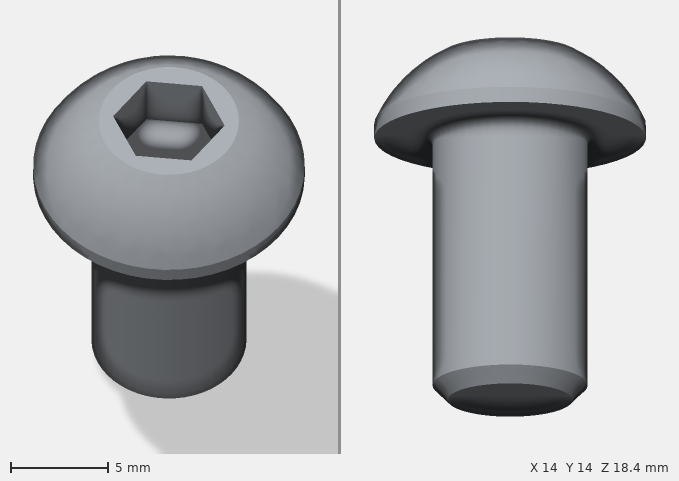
import cadquery as cq
import math

total_height = 18.4
head_height = 4.4
head_diameter = 14.0
rim_height = 0.81
top_flat_radius = 3.6
dome_radius = 7.5
shank_diameter = 8.0
neck_fillet = 0.4
tip_chamfer = 0.8
socket_across_flats = 5.0
socket_depth = 3.05

shank_length = total_height - head_height
head_radius = head_diameter / 2
shank_radius = shank_diameter / 2


def point_on_dome():
    """Midpoint of the dome arc, as (radius, height)."""
    run = head_radius - top_flat_radius
    rise = head_height - rim_height
    chord = math.hypot(run, rise)
    bulge = dome_radius - math.sqrt(dome_radius**2 - (chord / 2) ** 2)
    middle_radius = (head_radius + top_flat_radius) / 2
    middle_height = (head_height + rim_height) / 2
    return (middle_radius + bulge * rise / chord, middle_height + bulge * run / chord)


def point_on_neck():
    """Midpoint of the concave neck arc, as (radius, height)."""
    offset = neck_fillet * (1 - math.sqrt(0.5))
    return (shank_radius + offset, -offset)


def screw_body():
    """Head, neck fillet and chamfered shank as one revolved outline."""
    return (
        cq.Workplane("XZ")
        .moveTo(0, head_height)
        .lineTo(top_flat_radius, head_height)
        .threePointArc(point_on_dome(), (head_radius, rim_height))
        .lineTo(head_radius, 0)
        .lineTo(shank_radius + neck_fillet, 0)
        .threePointArc(point_on_neck(), (shank_radius, -neck_fillet))
        .lineTo(shank_radius, tip_chamfer - shank_length)
        .lineTo(shank_radius - tip_chamfer, -shank_length)
        .lineTo(0, -shank_length)
        .close()
        .revolve(360, (0, 0, 0), (0, 1, 0))
    )


def hex_socket():
    """Hexagonal drive socket with two corners on the Y axis."""
    across_corners = socket_across_flats / math.cos(math.pi / 6)
    return (
        cq.Workplane("XY")
        .workplane(offset=head_height - socket_depth)
        .transformed(rotate=(0, 0, 90))
        .polygon(6, across_corners)
        .extrude(socket_depth)
    )


result = screw_body().cut(hex_socket())